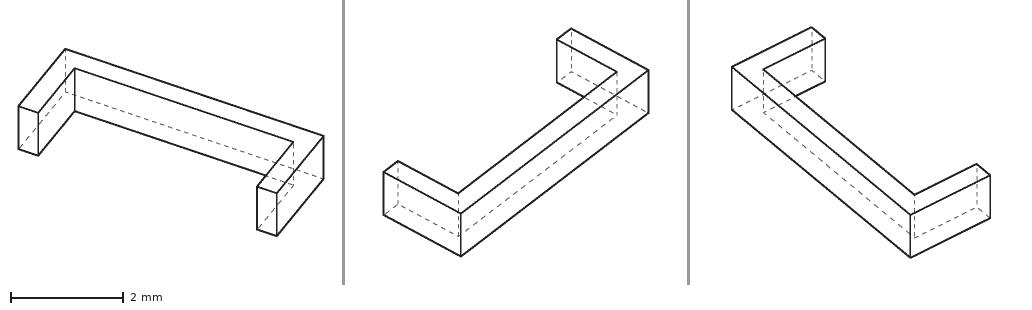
import cadquery as cq

length = 5.2
depth = 1.8
height = 1.0

wall = 0.4

block = cq.Workplane("XY").box(length, depth, height)

opening = (
    cq.Workplane("XY")
    .box(length - 2 * wall, depth - wall, height)
    .translate((0, -wall / 2, 0))
)

result = block.cut(opening)